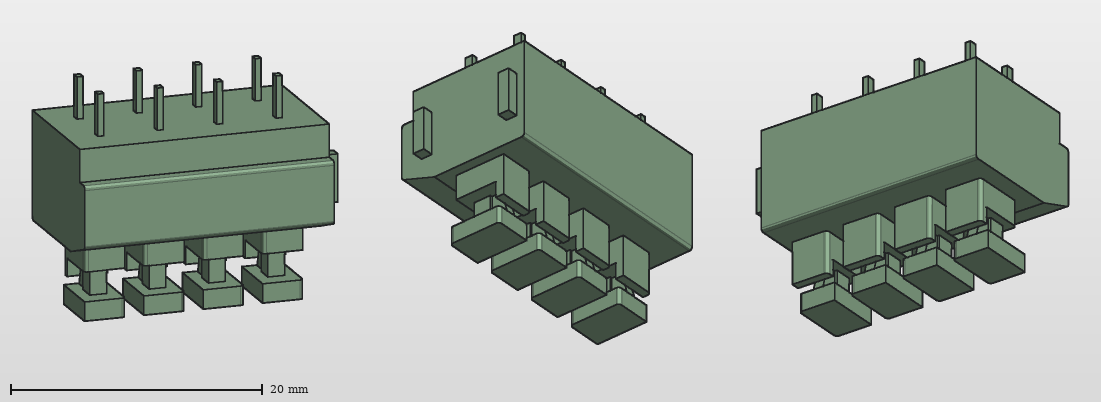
import cadquery as cq


total_length = 22
total_height = 18.7
housing_width = 12.6
housing_length = 20.99
housing_height = 9.09
top_width = 11.42
ledge_height = 6.34
flat_width = 9.25
slope_height = 1.15
edge_radius = 0.3

pole_count = 4
row_count = 2
pole_pitch = 5.0

pin_x = 3.15
pin_row_spacing = pole_pitch
pin_y = 2.8
pin_size_x = 0.75
pin_size_y = 0.5
pin_height = 3.5

lug_count = 2
lug_length = total_length - housing_length
lug_width = 1.05
lug_height = 4.0
lug_bottom = 2.27
lug_x = 1.32
lug_spacing = 8.71

post_x = 2.93
post_y = 3.35
post_size_x = 4.86
post_size_y = 3.4
post_height = 2.3
lip_thickness = 0.8
lip_height = 3.83
post_radius = 0.33

button_x = 3.56
button_y = 3.1
button_size_x = 5.04
button_size_y = 3.43
button_height = 1.6
button_radius = 0.3
button_bottom = pin_height + housing_height - total_height
button_top = button_bottom + button_height
stem_front = 5.32
stem_back = 6.97
stem_size_y = 1.4
nose_size_y = 0.95
nose_bottom_x = 3.72
nose_top_x = 4.31


def box(x, y_centre, z, size_x, size_y, size_z):
    """Box placed by its low-X side, its Y centre and its bottom."""
    return (
        cq.Workplane("XY")
        .box(size_x, size_y, size_z, centered=(False, True, False))
        .translate((x, y_centre, z))
    )


def make_housing():
    outline = [
        (0, 0),
        (flat_width, 0),
        (housing_width, slope_height),
        (housing_width, ledge_height),
        (top_width, ledge_height),
        (top_width, housing_height),
        (0, housing_height),
    ]
    housing = cq.Workplane("XZ").polyline(outline).close().extrude(-housing_length)
    low_left_edge = housing.edges("|Y").edges("<X").edges("<Z")
    housing = low_left_edge.fillet(edge_radius)
    return housing.faces(">X").edges("|Y").fillet(edge_radius)


def make_pin(x_centre, y_centre):
    return box(x_centre - pin_size_x / 2, y_centre, housing_height, pin_size_x, pin_size_y, pin_height)


def make_lug(x_centre):
    y_centre = housing_length + lug_length / 2
    return box(x_centre - lug_width / 2, y_centre, lug_bottom, lug_width, lug_length, lug_height)


def make_post(y_centre):
    """Guide post with a longer lip on its low-X side and rounded low-Y edges."""
    post = box(post_x, y_centre, -post_height, post_size_x, post_size_y, post_height)
    lip = box(post_x, y_centre, -lip_height, lip_thickness, post_size_y, lip_height)
    return post.union(lip).faces("<Y").edges("|Z and (<X or >X)").fillet(post_radius)


def make_button(y_centre):
    """Button with rounded high-Y edges, its stem and the sloped nose of the stem."""
    button = box(button_x, y_centre, button_bottom, button_size_x, button_size_y, button_height)
    button = button.faces(">Y").edges("|Z").fillet(button_radius)
    stem_height = -post_height - button_top
    stem = box(stem_front, y_centre, button_top, stem_back - stem_front, stem_size_y, stem_height)
    nose_outline = [
        (nose_bottom_x, button_top),
        (stem_front, button_top),
        (stem_front, -post_height),
        (nose_top_x, -post_height),
    ]
    nose = (
        cq.Workplane("XZ")
        .polyline(nose_outline)
        .close()
        .extrude(nose_size_y / 2, both=True)
        .translate((0, y_centre, 0))
    )
    return button.union(stem).union(nose)


result = make_housing()
for lug_index in range(lug_count):
    result = result.union(make_lug(lug_x + lug_index * lug_spacing))
for pole in range(pole_count):
    offset = pole * pole_pitch
    for row in range(row_count):
        result = result.union(make_pin(pin_x + row * pin_row_spacing, pin_y + offset))
    result = result.union(make_post(post_y + offset))
    result = result.union(make_button(button_y + offset))